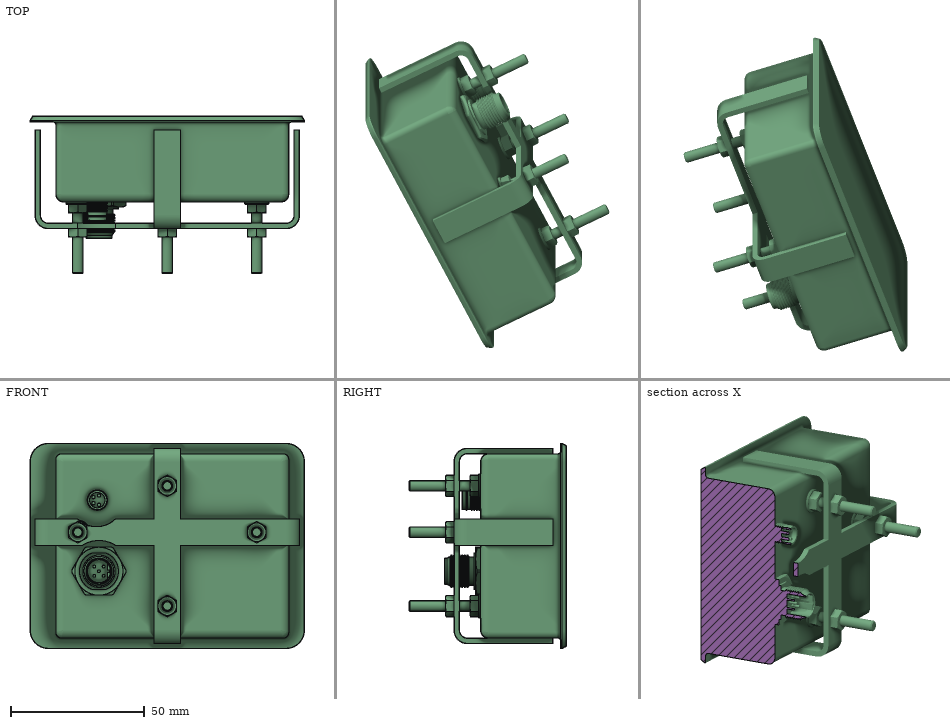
import cadquery as cq
import math


FLANGE_WIDTH = 102.8
FLANGE_HEIGHT = 76.9
FLANGE_THICKNESS = 2.2
FLANGE_CORNER_RADIUS = 6.9
FLANGE_BEVEL_DEPTH = 1.6
FLANGE_BEVEL_INSET = 0.9

HOUSING_LEFT = -41.7
HOUSING_RIGHT = 45.5
HOUSING_HEIGHT = 69.1
HOUSING_DEPTH = 32.2
HOUSING_CORNER_RADIUS = 2.2
HOUSING_FRONT_RADIUS = 3.0
HOUSING_ROOT_FILLET = 1.0

STRIP_WIDTH = 10.0
STRIP_THICKNESS = 2.1
STRIP_BEND_RADIUS = 5.0
BRACKET_WIDTH = 99.1
BRACKET_HEIGHT = HOUSING_HEIGHT + 2 * STRIP_THICKNESS
BRACKET_FRONT_DEPTH = 42.1
BRACKET_TIP_DEPTH = 5.1
CROSS_ARM_Z = 5.1
SMALL_RELIEF_X = -26.5
SMALL_RELIEF_RADIUS = 10.0
LARGE_RELIEF_RADIUS = 11.5

STUD_RADIUS = 2.0
STUD_TIP_DEPTH = 59.0
STUD_TIP_CHAMFER = 0.4
STUD_SIDE_X = 33.5
STUD_SIDE_Z = 22.5
STUD_POSITIONS = [
    (-STUD_SIDE_X, CROSS_ARM_Z),
    (STUD_SIDE_X, CROSS_ARM_Z),
    (0, STUD_SIDE_Z),
    (0, -STUD_SIDE_Z),
]
WASHER_RADIUS = 4.5
WASHER_THICKNESS = 0.8
WASHER_CHAMFER = 0.3
NUT_ACROSS_FLATS = 7.0
NUT_THICKNESS = 3.2
NUT_CHAMFER_DEPTH = 0.3

SMALL_X = -26.2
SMALL_Z = 17.2
SMALL_THREAD_RADIUS = 3.8
SMALL_THREAD_LENGTH = 3.8
SMALL_THREAD_PITCH = 0.9
SMALL_TIP_RADIUS = 3.6
SMALL_RING_START = 4.9
SMALL_RING_WIDTH = 0.6
SMALL_LENGTH = 6.9
SMALL_BORE_RADIUS = 2.9
SMALL_BORE_DEPTH = 4.1
SMALL_PIN_RADIUS = 0.6
SMALL_PIN_RECESS = 0.8
SMALL_PINS = [(-1.4, 1.1), (-1.4, -1.1), (0.6, 1.7), (0.6, -1.7)]

LARGE_X = -25.6
LARGE_Z = -9.5
LARGE_HEX_ACROSS_FLATS = 18.0
LARGE_HEX_CORNER_RADIUS = 10.2
LARGE_HEX_THICKNESS = 1.9
LARGE_HEX_CHAMFER_DEPTH = 0.5
COLLAR_RADIUS = 7.3
COLLAR_ACROSS_FLATS = 13.7
COLLAR_END = 2.6
LARGE_NECK_RADIUS = 5.3
LARGE_NECK_END = 4.4
LARGE_THREAD_RADIUS = 6.1
LARGE_THREAD_END = 11.4
LARGE_THREAD_PITCH = 1.0
LARGE_TIP_RADIUS = 4.9
LARGE_TIP_START = 12.5
LARGE_TIP_CHAMFER = 0.2
LARGE_LENGTH = 13.6
LARGE_BORE_RADIUS = 4.3
LARGE_BORE_DEPTH = 8.2
KEY_FACE_OFFSET = 3.2
KEYWAY_WIDTH = 1.0
KEYWAY_DEPTH = 0.7
KEY_RECESS = 0.3
LARGE_PIN_RADIUS = 0.5
LARGE_PIN_RECESS = 5.1
LARGE_PIN_OFFSET = 1.7
LARGE_PINS = [(0, 0)] + [
    (sx * LARGE_PIN_OFFSET, sz * LARGE_PIN_OFFSET) for sx in (-1, 1) for sz in (-1, 1)
]

THREAD_GROOVE = 0.5
THREAD_FLAT = 0.2


def at_depth(depth):
    """XZ sketch plane at a depth; extruding moves away from the flange."""
    return cq.Workplane("XZ", origin=(0, -depth, 0))


def rod(x, z, start, end, radius):
    return at_depth(start).center(x, z).circle(radius).extrude(end - start)


def turned(x, z, start_depth, profile):
    """Solid of revolution about a Y-parallel axis from (radius, distance) points."""
    end = profile[-1][1]
    outline = [(0, 0)] + [(radius, -distance) for radius, distance in profile] + [(0, -end)]
    solid = cq.Workplane("XY").polyline(outline).close().revolve(360, (0, 0, 0), (0, 1, 0))
    return solid.translate((x, -start_depth, z))


def thread_profile(start, end, pitch, radius):
    """(radius, distance) points along a row of ring-shaped, flat-topped thread ridges."""
    count = round((end - start) / pitch)
    step = (end - start) / count
    root = radius - THREAD_GROOVE
    flat = THREAD_FLAT * step
    points = [(root, start)]
    for i in range(count):
        crest = start + (i + 0.5) * step
        points.append((root, crest - step / 2 + flat / 2))
        points.append((radius, crest - flat / 2))
        points.append((radius, crest + flat / 2))
        points.append((root, crest + step / 2 - flat / 2))
    points.append((root, end))
    return points


def flange():
    plate = at_depth(0).rect(FLANGE_WIDTH, FLANGE_HEIGHT).extrude(FLANGE_THICKNESS)
    plate = plate.edges("|Y").fillet(FLANGE_CORNER_RADIUS)
    return plate.faces(">Y").chamfer(FLANGE_BEVEL_DEPTH, FLANGE_BEVEL_INSET)


def housing():
    """Box with rounded upright edges and a larger round along its front edges."""
    width = HOUSING_RIGHT - HOUSING_LEFT
    center_x = (HOUSING_LEFT + HOUSING_RIGHT) / 2
    box = at_depth(0).center(center_x, 0).rect(width, HOUSING_HEIGHT).extrude(HOUSING_DEPTH)
    box = box.faces("<Y").edges().fillet(HOUSING_FRONT_RADIUS)
    return box.edges("|Y").fillet(HOUSING_CORNER_RADIUS)


def flanged_housing():
    body = flange().union(housing())
    margin = 0.1
    root_edges = cq.selectors.BoxSelector(
        (HOUSING_LEFT - margin, -FLANGE_THICKNESS - margin, -HOUSING_HEIGHT / 2 - margin),
        (HOUSING_RIGHT + margin, -FLANGE_THICKNESS + margin, HOUSING_HEIGHT / 2 + margin),
    )
    return body.edges(root_edges).fillet(HOUSING_ROOT_FILLET)


def bent_strip(span):
    """U-shaped strip spanning X, its legs pointing toward +Y, centered on z = 0."""
    length = BRACKET_FRONT_DEPTH - BRACKET_TIP_DEPTH
    center_y = -BRACKET_TIP_DEPTH - length / 2
    inner_radius = STRIP_BEND_RADIUS - STRIP_THICKNESS
    outer = cq.Workplane("XY").box(span, length, STRIP_WIDTH)
    outer = outer.edges("|Z and <Y").fillet(STRIP_BEND_RADIUS)
    inner = cq.Workplane("XY").box(span - 2 * STRIP_THICKNESS, length, STRIP_WIDTH)
    inner = inner.edges("|Z and <Y").fillet(inner_radius)
    strip = outer.cut(inner.translate((0, STRIP_THICKNESS, 0)))
    return strip.translate((0, center_y, 0))


def bracket():
    cross_arm = bent_strip(BRACKET_WIDTH).translate((0, 0, CROSS_ARM_Z))
    upright = bent_strip(BRACKET_HEIGHT).rotate((0, 0, 0), (0, 1, 0), 90)
    inner_depth = BRACKET_FRONT_DEPTH - STRIP_THICKNESS
    small_relief = rod(SMALL_RELIEF_X, SMALL_Z, inner_depth, BRACKET_FRONT_DEPTH, SMALL_RELIEF_RADIUS)
    large_relief = rod(LARGE_X, LARGE_Z, inner_depth, BRACKET_FRONT_DEPTH, LARGE_RELIEF_RADIUS)
    return cross_arm.cut(small_relief).cut(large_relief).union(upright)


def hex_prism(x, z, start, thickness, across_flats, turn):
    corner_diameter = across_flats / math.cos(math.pi / 6)
    prism = at_depth(start).polygon(6, corner_diameter).extrude(thickness)
    return prism.rotate((0, 0, 0), (0, 1, 0), turn).translate((x, 0, z))


def stud_nut(x, z, start):
    """Hex nut, corners up and down, its far corners beveled."""
    corner_radius = NUT_ACROSS_FLATS / math.sqrt(3)
    bevel = turned(x, z, start, [
        (corner_radius, 0),
        (corner_radius, NUT_THICKNESS - NUT_CHAMFER_DEPTH),
        (NUT_ACROSS_FLATS / 2, NUT_THICKNESS),
    ])
    return hex_prism(x, z, start, NUT_THICKNESS, NUT_ACROSS_FLATS, 30).intersect(bevel)


def stud_set(x, z):
    stud = rod(x, z, HOUSING_DEPTH, STUD_TIP_DEPTH, STUD_RADIUS)
    stud = stud.faces("<Y").chamfer(STUD_TIP_CHAMFER)
    washer = rod(x, z, HOUSING_DEPTH, HOUSING_DEPTH + WASHER_THICKNESS, WASHER_RADIUS)
    washer = washer.faces("<Y").chamfer(WASHER_CHAMFER)
    inner_nut = stud_nut(x, z, HOUSING_DEPTH + WASHER_THICKNESS)
    outer_nut = stud_nut(x, z, BRACKET_FRONT_DEPTH)
    return stud.union(washer).union(inner_nut).union(outer_nut)


def add_socket(shell, x, z, length, bore_radius, bore_depth, pins, pin_radius, pin_recess):
    """Bore a connector shell from its mouth and stand the contact pins on the bore floor."""
    mouth = HOUSING_DEPTH + length
    floor = mouth - bore_depth
    shell = shell.cut(rod(x, z, floor, mouth, bore_radius))
    for pin_x, pin_z in pins:
        shell = shell.union(rod(x + pin_x, z + pin_z, floor, mouth - pin_recess, pin_radius))
    return shell


def small_connector():
    ring_end = SMALL_RING_START + SMALL_RING_WIDTH
    profile = thread_profile(0, SMALL_THREAD_LENGTH, SMALL_THREAD_PITCH, SMALL_THREAD_RADIUS) + [
        (SMALL_TIP_RADIUS, SMALL_THREAD_LENGTH),
        (SMALL_TIP_RADIUS, SMALL_RING_START),
        (SMALL_THREAD_RADIUS, SMALL_RING_START + SMALL_RING_WIDTH / 2),
        (SMALL_TIP_RADIUS, ring_end),
        (SMALL_TIP_RADIUS, SMALL_LENGTH),
    ]
    shell = turned(SMALL_X, SMALL_Z, HOUSING_DEPTH, profile)
    return add_socket(shell, SMALL_X, SMALL_Z, SMALL_LENGTH, SMALL_BORE_RADIUS,
                      SMALL_BORE_DEPTH, SMALL_PINS, SMALL_PIN_RADIUS, SMALL_PIN_RECESS)


def large_key():
    """Flat-faced polarizing segment on the +X side of the large bore, with a keyway along it."""
    start = HOUSING_DEPTH + LARGE_LENGTH - LARGE_BORE_DEPTH
    length = LARGE_BORE_DEPTH - KEY_RECESS
    face_x = LARGE_X + KEY_FACE_OFFSET
    bore = rod(LARGE_X, LARGE_Z, start, start + length, LARGE_BORE_RADIUS)
    open_side = at_depth(start).center(face_x - LARGE_BORE_RADIUS, LARGE_Z)
    open_side = open_side.rect(2 * LARGE_BORE_RADIUS, 2 * LARGE_BORE_RADIUS).extrude(length)
    keyway = at_depth(start).center(face_x, LARGE_Z)
    keyway = keyway.rect(2 * KEYWAY_DEPTH, KEYWAY_WIDTH).extrude(length)
    return bore.cut(open_side).cut(keyway)


def large_connector():
    hex_base = hex_prism(LARGE_X, LARGE_Z, HOUSING_DEPTH, LARGE_HEX_THICKNESS,
                         LARGE_HEX_ACROSS_FLATS, 0)
    bevel = turned(LARGE_X, LARGE_Z, HOUSING_DEPTH, [
        (LARGE_HEX_CORNER_RADIUS, 0),
        (LARGE_HEX_CORNER_RADIUS, LARGE_HEX_THICKNESS - LARGE_HEX_CHAMFER_DEPTH),
        (LARGE_HEX_ACROSS_FLATS / 2, LARGE_HEX_THICKNESS),
    ])
    hex_base = hex_base.intersect(bevel)

    collar = rod(LARGE_X, LARGE_Z, HOUSING_DEPTH, HOUSING_DEPTH + COLLAR_END, COLLAR_RADIUS)
    flats = at_depth(HOUSING_DEPTH).center(LARGE_X, LARGE_Z)
    flats = flats.rect(2 * COLLAR_RADIUS, COLLAR_ACROSS_FLATS).extrude(COLLAR_END)
    collar = collar.intersect(flats)

    profile = [(LARGE_NECK_RADIUS, 0), (LARGE_NECK_RADIUS, LARGE_NECK_END)]
    profile += thread_profile(LARGE_NECK_END, LARGE_THREAD_END, LARGE_THREAD_PITCH, LARGE_THREAD_RADIUS)
    profile += [
        (LARGE_TIP_RADIUS, LARGE_TIP_START),
        (LARGE_TIP_RADIUS, LARGE_LENGTH - LARGE_TIP_CHAMFER),
        (LARGE_TIP_RADIUS - LARGE_TIP_CHAMFER, LARGE_LENGTH),
    ]
    shell = turned(LARGE_X, LARGE_Z, HOUSING_DEPTH, profile).union(hex_base).union(collar)
    shell = add_socket(shell, LARGE_X, LARGE_Z, LARGE_LENGTH, LARGE_BORE_RADIUS,
                       LARGE_BORE_DEPTH, LARGE_PINS, LARGE_PIN_RADIUS, LARGE_PIN_RECESS)
    return shell.union(large_key())


result = flanged_housing().union(bracket())
for stud_x, stud_z in STUD_POSITIONS:
    result = result.union(stud_set(stud_x, stud_z))
result = result.union(small_connector()).union(large_connector())